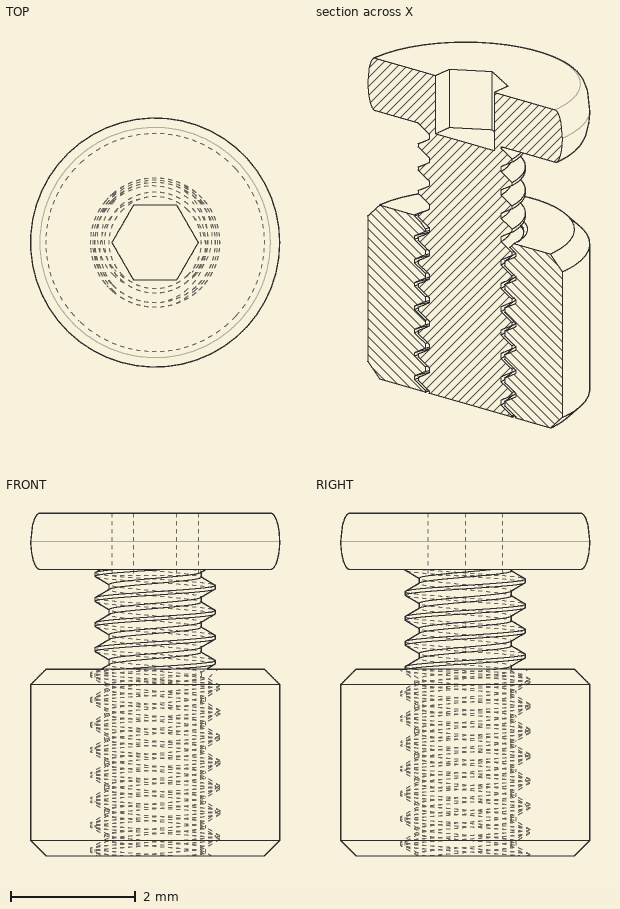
import cadquery as cq
import math

TOTAL_HEIGHT = 5.5
OUTER_DIAMETER = 4.0
OUTER_RADIUS = OUTER_DIAMETER / 2

NUT_HEIGHT = 3.0
NUT_CHAMFER = 0.25
COUNTERSINK_RADIUS = 2.0 / 2
BORE_RADIUS = 1.62 / 2
NUT_GROOVE_RADIUS = 2.075 / 2

HEAD_HEIGHT = 0.91
HEAD_FACE_RADIUS = 1.85
HEAD_BOTTOM = TOTAL_HEIGHT - HEAD_HEIGHT
RIM_BULGE = OUTER_RADIUS - HEAD_FACE_RADIUS

SOCKET_ACROSS_FLATS = 1.2
SOCKET_ACROSS_CORNERS = SOCKET_ACROSS_FLATS / math.cos(math.pi / 6)
SOCKET_DEPTH = 1.0

THREAD_MAJOR_RADIUS = 1.93 / 2
THREAD_ROOT_RADIUS = 1.48 / 2
THREAD_PITCH = 0.4
CREST_WIDTH = 0.055
ROOT_WIDTH = 0.08
RIDGE_BASE_WIDTH = THREAD_PITCH - ROOT_WIDTH
RIDGE_EMBED = 0.02
CREST_HEIGHT_AT_PLUS_X = NUT_HEIGHT + 0.11
RIDGE_OVERSHOOT = 0.55
CORE_OVERSHOOT = 1.65


def make_thread_ridge(root_radius, major_radius, bottom, top):
    """Helical ridge on a cylinder of root_radius that overshoots both given heights."""
    turns_below = math.ceil((CREST_HEIGHT_AT_PLUS_X - bottom + RIDGE_OVERSHOOT) / THREAD_PITCH)
    turns_above = math.ceil((top - CREST_HEIGHT_AT_PLUS_X + RIDGE_OVERSHOOT) / THREAD_PITCH)
    start = CREST_HEIGHT_AT_PLUS_X - turns_below * THREAD_PITCH
    length = (turns_below + turns_above) * THREAD_PITCH

    flank_slope = (RIDGE_BASE_WIDTH - CREST_WIDTH) / 2 / (major_radius - root_radius)
    inner_radius = root_radius - RIDGE_EMBED
    inner_half_width = RIDGE_BASE_WIDTH / 2 + RIDGE_EMBED * flank_slope
    helix = cq.Wire.makeHelix(THREAD_PITCH, length, root_radius, cq.Vector(0, 0, start))
    profile = cq.Workplane("XZ").polyline([
        (inner_radius, start - inner_half_width),
        (major_radius, start - CREST_WIDTH / 2),
        (major_radius, start + CREST_WIDTH / 2),
        (inner_radius, start + inner_half_width),
    ]).close()
    return profile.sweep(cq.Workplane(obj=helix), isFrenet=True)


def make_threaded_rod(root_radius, major_radius, bottom, top):
    """Core cylinder with its thread ridge, longer than needed at both ends."""
    core_length = top - bottom + 2 * CORE_OVERSHOOT
    core = cq.Workplane("XY", origin=(0, 0, bottom - CORE_OVERSHOOT)).circle(root_radius).extrude(core_length)
    return core.union(make_thread_ridge(root_radius, major_radius, bottom, top))


def make_head():
    """Round head with flat faces and a bulged rim, without its socket."""
    return (
        cq.Workplane("XZ")
        .moveTo(0, HEAD_BOTTOM)
        .lineTo(HEAD_FACE_RADIUS, HEAD_BOTTOM)
        .ellipseArc(RIM_BULGE, HEAD_HEIGHT / 2, -90, 0, startAtCurrent=True)
        .ellipseArc(RIM_BULGE, HEAD_HEIGHT / 2, 0, 90, startAtCurrent=True)
        .lineTo(0, TOTAL_HEIGHT)
        .close()
        .revolve(360, (0, 0, 0), (0, 1, 0))
    )


def make_socket():
    """Hexagonal prism that the drive socket removes from the head and the shank."""
    return (
        cq.Workplane("XY", origin=(0, 0, TOTAL_HEIGHT - SOCKET_DEPTH))
        .polygon(6, SOCKET_ACROSS_CORNERS)
        .extrude(SOCKET_DEPTH)
    )


def make_shank():
    """Threaded shank from the bottom of the nut up to the head."""
    rod = make_threaded_rod(THREAD_ROOT_RADIUS, THREAD_MAJOR_RADIUS, 0, HEAD_BOTTOM)
    trim = cq.Workplane("XY").circle(OUTER_RADIUS).extrude(HEAD_BOTTOM)
    return rod.intersect(trim)


def make_screw():
    """Head and threaded shank as one solid, with the drive socket cut into it."""
    return make_head().union(make_shank()).cut(make_socket())


def make_countersink():
    """45 degree cone that opens the top of the nut's bore."""
    depth = COUNTERSINK_RADIUS - BORE_RADIUS
    return (
        cq.Workplane("XY", origin=(0, 0, NUT_HEIGHT))
        .circle(COUNTERSINK_RADIUS)
        .workplane(offset=-depth)
        .circle(BORE_RADIUS)
        .loft(ruled=True)
    )


def make_nut():
    """Cylindrical nut, chamfered at both ends, with a countersunk and threaded through bore."""
    nut = cq.Workplane("XY").circle(OUTER_RADIUS).extrude(NUT_HEIGHT)
    nut = nut.faces("<Z or >Z").chamfer(NUT_CHAMFER)
    tap = make_threaded_rod(BORE_RADIUS, NUT_GROOVE_RADIUS, 0, NUT_HEIGHT)
    return nut.cut(tap).cut(make_countersink())


screw = make_screw()
nut = make_nut()

result = cq.Compound.makeCompound([screw.solids().val(), nut.solids().val()])